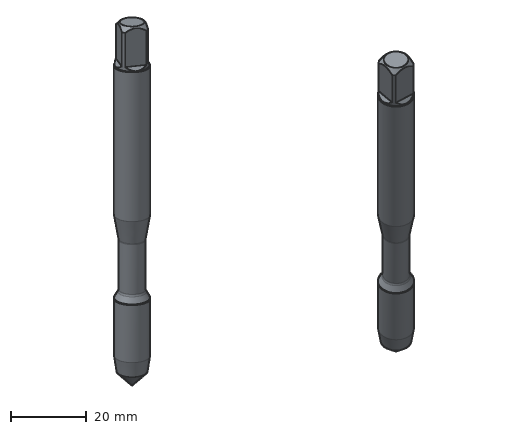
import cadquery as cq
import math

thread_lead_diameter = 8.3
thread_diameter = 9.63
neck_diameter = 7.25
shank_diameter = 9.68
square_blank_diameter = 9.29

point_height = thread_lead_diameter / 2
thread_lead_height = 4.5
thread_top = 24.95

collar_land_height = 0.3
collar_half_angle = math.radians(30)
taper_bottom = 42.0
taper_top = 48.95
neck_fillet_radius = 1.25
shank_top = 91.5

overall_length = 103.98
square_width = 7.25
square_bottom = 92.8
end_chamfer = 1.4


def revolve_profile(profile):
    """Turn a closed half profile, drawn in X and Z, about the Z axis."""
    return profile.close().revolve(360, (0, 0), (0, 1))


def build_threaded_end():
    """Conical point, tapered lead and full-diameter envelope of the thread."""
    lead_radius = thread_lead_diameter / 2
    thread_radius = thread_diameter / 2
    return revolve_profile(
        cq.Workplane("XZ")
        .lineTo(lead_radius, point_height)
        .lineTo(thread_radius, point_height + thread_lead_height)
        .lineTo(thread_radius, thread_top)
        .lineTo(0, thread_top)
    )


def neck_fillet_points(corner_height, half_angle, direction):
    """Return the neck end, middle and cone end of the arc that blends the neck into a cone.

    corner_height is where cone and neck would meet; direction is +1 when the cone
    widens upwards and -1 when it widens downwards.
    """
    neck_radius = neck_diameter / 2
    tangent_height = corner_height - direction * neck_fillet_radius * math.tan(half_angle / 2)
    points = []
    for angle in (0, half_angle / 2, half_angle):
        radius = neck_radius + neck_fillet_radius * (1 - math.cos(angle))
        height = tangent_height + direction * neck_fillet_radius * math.sin(angle)
        points.append((radius, height))
    return points


def build_turned_shank():
    """Collar, neck, taper, shank and the round blank for the driving square."""
    collar_radius = thread_diameter / 2
    neck_radius = neck_diameter / 2
    shank_radius = shank_diameter / 2
    blank_radius = square_blank_diameter / 2
    shoulder_chamfer = shank_radius - blank_radius

    collar_land_top = thread_top + collar_land_height
    collar_corner = collar_land_top + (collar_radius - neck_radius) / math.tan(collar_half_angle)
    taper_half_angle = math.atan((shank_radius - neck_radius) / (taper_top - taper_bottom))
    collar_neck_end, collar_middle, collar_cone_end = neck_fillet_points(
        collar_corner, collar_half_angle, -1
    )
    taper_neck_end, taper_middle, taper_cone_end = neck_fillet_points(
        taper_bottom, taper_half_angle, 1
    )

    return revolve_profile(
        cq.Workplane("XZ")
        .moveTo(0, thread_top)
        .lineTo(collar_radius, thread_top)
        .lineTo(collar_radius, collar_land_top)
        .lineTo(*collar_cone_end)
        .threePointArc(collar_middle, collar_neck_end)
        .lineTo(*taper_neck_end)
        .threePointArc(taper_middle, taper_cone_end)
        .lineTo(shank_radius, taper_top)
        .lineTo(shank_radius, shank_top)
        .lineTo(blank_radius, shank_top + shoulder_chamfer)
        .lineTo(blank_radius, overall_length - end_chamfer)
        .lineTo(blank_radius - end_chamfer, overall_length)
        .lineTo(0, overall_length)
    )


def build_flat_cutter():
    """Prism that removes the +X side of the square, with a 45 degree run-out at its lower end."""
    flat_offset = square_width / 2
    outer_reach = shank_diameter / 2
    runout = outer_reach - flat_offset
    return (
        cq.Workplane("XZ")
        .moveTo(flat_offset, square_bottom)
        .lineTo(outer_reach, square_bottom - runout)
        .lineTo(outer_reach, overall_length)
        .lineTo(flat_offset, overall_length)
        .close()
        .extrude(outer_reach, both=True)
    )


def build_shank():
    """Turned shank with four flats milled on its upper end."""
    shank = build_turned_shank()
    flat_cutter = build_flat_cutter()
    for flat in range(4):
        shank = shank.cut(flat_cutter.rotate((0, 0, 0), (0, 0, 1), 90 * flat))
    return shank


threaded_end = build_threaded_end()
shank = build_shank()
result = cq.Compound.makeCompound([threaded_end.val(), shank.val()])